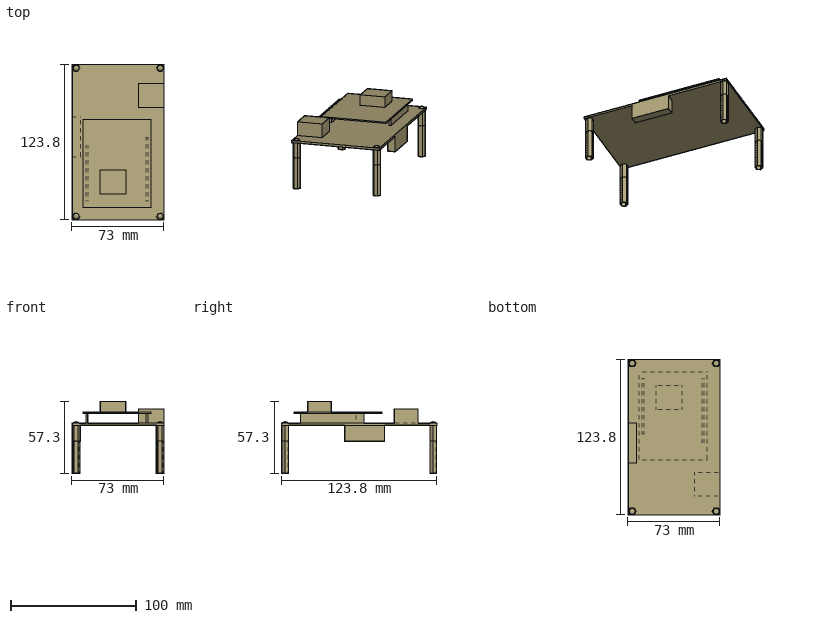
import cadquery as cq

board_x = 73.0
board_y = 123.8
board_thickness = 1.9

leg_length = 38.0
leg_corner_diameter = 6.3
leg_edge_gap_y = 3.1
bore_diameter = 4.7
bore_depth = 25.5
head_diameter = 4.8
head_height = 1.1

rail_thickness = 1.6
rail_height = 7.7
rail_front_y = -46.8
left_rail_x = -25.6
left_rail_back_y = -2.5
right_rail_x = 21.9
right_rail_back_y = 4.0
raised_x = 54.1
raised_y = 70.0
raised_thickness = 1.0
raised_corner_x = -28.1
raised_corner_y = -51.9

block_x = 20.5
block_y = 19.0
raised_block_height = 8.7
raised_block_corner_x = -14.4
raised_block_corner_y = -41.0
board_block_height = 11.3
board_block_corner_y = 27.9
under_block_x = 6.5
under_block_y = 31.8
under_block_depth = 12.6
under_block_corner_y = -11.5

board_top = leg_length + board_thickness
raised_bottom = board_top + rail_height
raised_top = raised_bottom + raised_thickness
leg_x = board_x / 2 - leg_corner_diameter / 2
leg_y = board_y / 2 - leg_edge_gap_y
cap_radius = ((head_diameter / 2) ** 2 + head_height**2) / (2 * head_height)


def block(corner, size):
    """Box with its lowest X, Y, Z corner at the given point."""
    return cq.Workplane("XY").box(*size, centered=False).translate(corner)


def leg():
    """Hexagonal post with two corners along X, bored from its foot."""
    post = cq.Workplane("XY").polygon(6, leg_corner_diameter).extrude(leg_length)
    bore = cq.Workplane("XY").circle(bore_diameter / 2).extrude(bore_depth)
    return post.cut(bore)


def screw_head():
    """Spherical cap standing on the main board."""
    return (
        cq.Workplane("XZ")
        .moveTo(0, 0)
        .lineTo(head_diameter / 2, 0)
        .radiusArc((0, head_height), -cap_radius)
        .close()
        .revolve(360, (0, 0), (0, 1))
        .translate((0, 0, board_top))
    )


def rail(corner_x, back_y):
    """Upright wall between the main board and the raised board."""
    size = (rail_thickness, back_y - rail_front_y, rail_height)
    return block((corner_x, rail_front_y, board_top), size)


result = block((-board_x / 2, -board_y / 2, leg_length), (board_x, board_y, board_thickness))

for x in (-leg_x, leg_x):
    for y in (-leg_y, leg_y):
        result = result.union(leg().translate((x, y, 0)))
        result = result.union(screw_head().translate((x, y, 0)))

result = result.union(rail(left_rail_x, left_rail_back_y))
result = result.union(rail(right_rail_x, right_rail_back_y))
result = result.union(
    block((raised_corner_x, raised_corner_y, raised_bottom), (raised_x, raised_y, raised_thickness))
)

result = result.union(
    block((raised_block_corner_x, raised_block_corner_y, raised_top), (block_x, block_y, raised_block_height))
)

result = result.union(
    block((board_x / 2 - block_x, board_block_corner_y, board_top), (block_x, block_y, board_block_height))
)

result = result.union(
    block(
        (-board_x / 2, under_block_corner_y, leg_length - under_block_depth),
        (under_block_x, under_block_y, under_block_depth),
    )
)